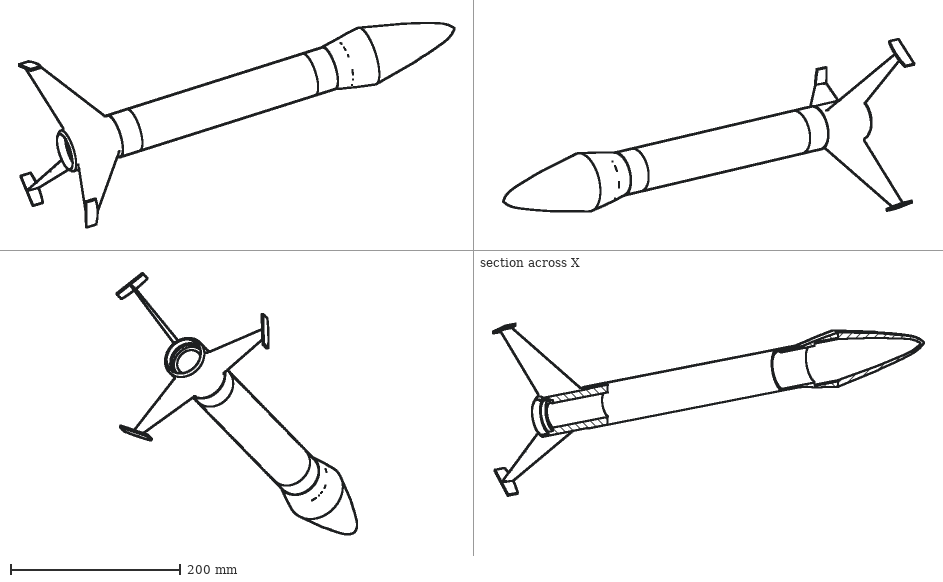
import cadquery as cq
import math

TAIL_Y = 24.5
TUBE_REAR_Y = 88.5
TUBE_FRONT_Y = 369.0
NOSE_BASE_Y = 418.5
NOSE_TIP_Y = 533

TUBE_RADIUS = 26.0
TUBE_WALL = 0.8
TUBE_BORE = TUBE_RADIUS - TUBE_WALL

NOSE_RADIUS = 35.0
FLARE_BULGE = 0.5
SHOULDER_LENGTH = 25.5
SHOULDER_WALL = 2.0

TIP_WALL = 5.5
NOSE_SHOULDER_LENGTH = 31.0
NOSE_SHOULDER_RADIUS = 28.0
NOSE_SHAPE_POWER = 0.6
NOSE_STATIONS = 4

CAN_RADIUS = TUBE_BORE
TAIL_CHAMFER = 3.0
TAIL_BORE = 22.0
TAIL_BORE_DEPTH = 10.5
SEAT_BORE = 19.5
LEDGE_DEPTH = 16.5
LEDGE_BORE = 15.5

FIN_COUNT = 3
FIN_TILT = 1.5
FIN_ROOT_RADIUS = 23.0
FIN_ROOT_FRONT_Y = 86.5
FIN_ROOT_REAR_Y = 31.0
FIN_ROOT_THICKNESS = 5.5
FIN_TIP_FRONT_Y = 15.5
FIN_TIP_THICKNESS = 2.0
FIN_FILLET = 2.5
REAR_EDGE_RATIO = 0.4

PLATE_OUTER = 113.5
PLATE_THICKNESS = 2.0
PLATE_WIDTH = 39.5
PLATE_SIDE_LENGTH = 13.0
PLATE_LENGTH = 15.0

TOLERANCE = 0.05

SEAM_PLANE = cq.Plane((0, 0, 0), (0, 0, 1), (-1, 0, 0))


def revolve(profile):
    """Turn a closed profile, drawn as radius and Y, around the Y axis."""
    return profile.close().revolve(360, (0, 0, 0), (0, 1, 0))


def nose_curve(base_radius, tip_y):
    """Points of a power-law nose from base to tip."""
    points = []
    for i in range(NOSE_STATIONS + 1):
        from_tip = (1 - i / NOSE_STATIONS) ** 2
        radius = base_radius * from_tip**NOSE_SHAPE_POWER
        points.append((radius, tip_y - from_tip * (tip_y - NOSE_BASE_Y)))
    return points


def make_nose():
    """Hollow nose cone with a shoulder that plugs into the transition."""
    shoulder_y = NOSE_BASE_Y - NOSE_SHOULDER_LENGTH
    bore = NOSE_SHOULDER_RADIUS - SHOULDER_WALL
    outer = nose_curve(NOSE_RADIUS, NOSE_TIP_Y)
    inner = nose_curve(bore, NOSE_TIP_Y - TIP_WALL)
    solid = revolve(
        cq.Workplane(SEAM_PLANE)
        .moveTo(0, shoulder_y)
        .lineTo(NOSE_SHOULDER_RADIUS, shoulder_y)
        .lineTo(NOSE_SHOULDER_RADIUS, NOSE_BASE_Y)
        .lineTo(*outer[0])
        .spline(outer[1:], includeCurrent=True)
    )
    hollow = revolve(
        cq.Workplane(SEAM_PLANE)
        .moveTo(0, shoulder_y)
        .lineTo(bore, shoulder_y)
        .lineTo(*inner[0])
        .spline(inner[1:], includeCurrent=True)
    )
    return solid.cut(hollow)


def make_transition():
    """Flared ring from tube to nose, with a shoulder inside the tube."""
    shoulder_bore = TUBE_BORE - SHOULDER_WALL
    shoulder_y = TUBE_FRONT_Y - SHOULDER_LENGTH
    middle = ((TUBE_RADIUS + NOSE_RADIUS) / 2 + FLARE_BULGE, (TUBE_FRONT_Y + NOSE_BASE_Y) / 2)
    socket_y = NOSE_BASE_Y - NOSE_SHOULDER_LENGTH
    return revolve(
        cq.Workplane(SEAM_PLANE)
        .moveTo(shoulder_bore, shoulder_y)
        .lineTo(TUBE_BORE, shoulder_y)
        .lineTo(TUBE_BORE, TUBE_FRONT_Y)
        .lineTo(TUBE_RADIUS, TUBE_FRONT_Y)
        .threePointArc(middle, (NOSE_RADIUS, NOSE_BASE_Y))
        .lineTo(NOSE_SHOULDER_RADIUS, NOSE_BASE_Y)
        .lineTo(NOSE_SHOULDER_RADIUS, socket_y)
        .lineTo(shoulder_bore, socket_y)
    )


def make_tube():
    """Thin body tube."""
    return revolve(
        cq.Workplane(SEAM_PLANE)
        .moveTo(TUBE_BORE, TUBE_REAR_Y)
        .lineTo(TUBE_RADIUS, TUBE_REAR_Y)
        .lineTo(TUBE_RADIUS, TUBE_FRONT_Y)
        .lineTo(TUBE_BORE, TUBE_FRONT_Y)
    )


def make_can():
    """Plain fin can with its chamfered tail and stepped bore."""
    front_y = TUBE_REAR_Y + SHOULDER_LENGTH
    seat_y = TAIL_Y + TAIL_BORE_DEPTH
    ledge_y = TAIL_Y + LEDGE_DEPTH
    return revolve(
        cq.Workplane(SEAM_PLANE)
        .moveTo(TAIL_BORE, TAIL_Y)
        .lineTo(CAN_RADIUS - TAIL_CHAMFER, TAIL_Y)
        .lineTo(CAN_RADIUS, TAIL_Y + TAIL_CHAMFER)
        .lineTo(CAN_RADIUS, front_y)
        .lineTo(LEDGE_BORE, front_y)
        .lineTo(LEDGE_BORE, ledge_y)
        .lineTo(SEAT_BORE, ledge_y)
        .lineTo(SEAT_BORE, seat_y)
        .lineTo(TAIL_BORE, seat_y)
    )


def fin_section(workplane, front_y, rear_y, thickness):
    """Blade outline: round front edge at full thickness, tapering straight to a smaller round rear edge."""
    front = thickness / 2
    rear = front * REAR_EDGE_RATIO
    return (
        workplane.moveTo(rear_y + rear, -rear)
        .lineTo(front_y - front, -front)
        .threePointArc((front_y, 0), (front_y - front, front))
        .lineTo(rear_y + rear, rear)
        .threePointArc((rear_y, 0), (rear_y + rear, -rear))
        .close()
    )


def make_fin():
    """Swept, tapered fin blade along +X."""
    root = cq.Workplane(cq.Plane((FIN_ROOT_RADIUS, 0, 0), (0, 1, 0), (1, 0, 0)))
    section = fin_section(root, FIN_ROOT_FRONT_Y, FIN_ROOT_REAR_Y, FIN_ROOT_THICKNESS)
    tip = section.workplane(offset=PLATE_OUTER - PLATE_THICKNESS / 2 - FIN_ROOT_RADIUS)
    return fin_section(tip, FIN_TIP_FRONT_Y, 0, FIN_TIP_THICKNESS).loft(ruled=True)


def make_plate():
    """Tip plate across the fin's end, with a bowed leading edge."""
    half = PLATE_WIDTH / 2
    inner_face = cq.Plane((PLATE_OUTER - PLATE_THICKNESS, 0, 0), (0, 1, 0), (1, 0, 0))
    return (
        cq.Workplane(inner_face)
        .moveTo(0, -half)
        .lineTo(PLATE_SIDE_LENGTH, -half)
        .threePointArc((PLATE_LENGTH, 0), (PLATE_SIDE_LENGTH, half))
        .lineTo(0, half)
        .close()
        .extrude(PLATE_THICKNESS)
    )


def at_fin_places(shape):
    """Copies of a shape, one at each fin angle."""
    step = 360 / FIN_COUNT
    return [shape.rotate((0, 0, 0), (0, 1, 0), -FIN_TILT - i * step) for i in range(FIN_COUNT)]


def is_root_edge(edge):
    """Whether an edge is part of a seam between a fin and the can's cylinder."""
    points = [edge.positionAt(i / 4) for i in range(5)]
    on_can = all(abs(math.hypot(p.x, p.z) - CAN_RADIUS) < TOLERANCE for p in points)
    beside_fin = all(TAIL_Y + TAIL_CHAMFER + TOLERANCE < p.y < TUBE_REAR_Y for p in points)
    return on_can and beside_fin


def make_fin_can():
    """Fin can with filleted fins and their tip plates."""
    can = make_can()
    for fin in at_fin_places(make_fin()):
        can = can.union(fin)
    can = can.edges().filter(is_root_edge).fillet(FIN_FILLET)
    for plate in at_fin_places(make_plate()):
        can = can.union(plate)
    return can


nose = make_nose()
transition = make_transition()
tube = make_tube()
fin_can = make_fin_can()
result = cq.Compound.makeCompound([nose.val(), transition.val(), tube.val(), fin_can.val()])